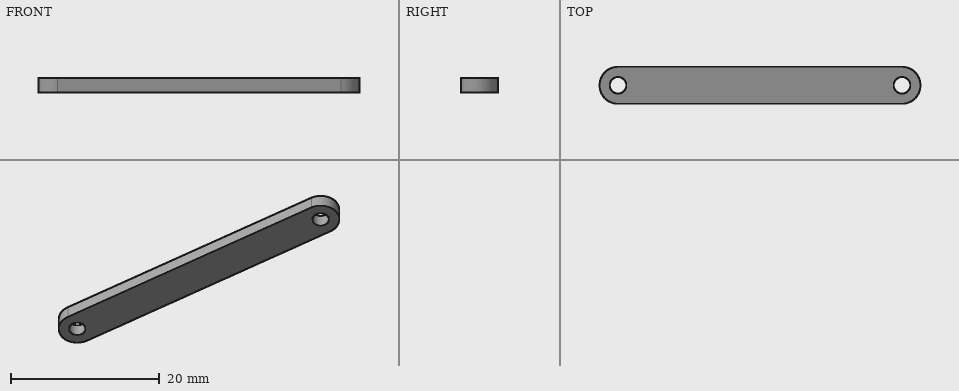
import cadquery as cq

length = 43.15
width = 5.0
thickness = 2.0
hole_diameter = 2.2

hole_spacing = length - width

bar = cq.Workplane("XY").slot2D(length, width).extrude(thickness)

result = (
    bar.faces(">Z")
    .workplane(origin=(0, 0, thickness))
    .pushPoints([(-hole_spacing / 2, 0), (hole_spacing / 2, 0)])
    .hole(hole_diameter)
)